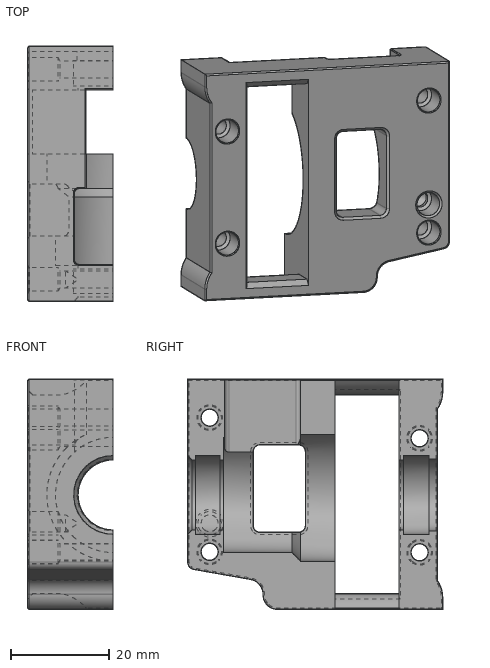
import cadquery as cq
import math

width = 17.45
length = 51.9
height = 46.85
edge_chamfer = 0.3
bore_z = 23.3

step_y = 15.3
step_corner_z = 8.35
step_slope = 10.0
step_radius = 3.0
nose_radius = 1.5
notch_depth = 1.1
notch_bottom = 5.85
notch_top = 40.8
notch_radius = 6.0

bore_radius = 7.1
bore_chamfer = 0.9
rear_lip_radius = 7.3
seat_radius = 8.05
drum_radius = 11.7
hub_radius = 13.5

front_wall = 7.3
drum_end = 21.2
hub_start = drum_end + hub_radius - drum_radius
cavity_start = 30.0
cavity_end = 42.95
front_seat = (1.55, 6.55)
rear_seat = (43.85, 49.05)

cavity_bottom = 3.2
cavity_top = 43.65
cavity_lip_x = 6.95
sweep_radius = 8.8
sweep_start = 11.0
sweep_end = 60.0
mouth_chamfer = 1.1

rear_slot_x = 12.0
front_slot_x = 9.6
front_slot_radius = 0.9
front_slot_chamfer = 0.2
front_slot_y = (7.5, 22.95)

window_y = (13.35, 23.9)
window_z = (15.7, 33.45)
window_radius = 1.35
window_chamfer = 0.5

screw_radius = 2.4
pilot_radius = 1.7
screw_depth = 6.2
drill_cone = 1 / math.tan(math.radians(59))
screw_chamfer = 0.2
blind_chamfer = 0.4
blind_depth = 7.8
blind_tip = 2.6
screw_centres = [(4.45, 39.0), (4.45, 11.7), (47.15, 34.8), (47.15, 11.6)]
blind_centre = (4.45, 17.55)


def box(x_range, y_range, z_range):
    size = [high - low for low, high in (x_range, y_range, z_range)]
    corner = (x_range[0], y_range[0], z_range[0])
    return cq.Workplane("XY").box(*size, centered=False).translate(corner)


def flared_mouth(plane, offset, inner, outer, depth):
    """Loft from an outer rectangle at the offset to an inner one at offset + depth.

    Each rectangle is (low u, high u, low v, high v) in the plane's own axes.
    """
    def rectangle(bounds):
        u0, u1, v0, v1 = bounds
        return [(u0, v0), (u1, v0), (u1, v1), (u0, v1)]

    return (
        cq.Workplane(plane).workplane(offset=offset).polyline(rectangle(outer)).close()
        .workplane(offset=depth).polyline(rectangle(inner)).close()
        .loft(ruled=True, combine=True)
    )


def make_body():
    wall_z = step_corner_z - step_y * math.tan(math.radians(step_slope))
    notch_y = length - notch_depth
    notch_run = math.sqrt(notch_radius**2 - (notch_radius - notch_depth)**2)
    half_run = notch_run / 2
    half_depth = notch_radius - math.sqrt(notch_radius**2 - half_run**2)
    body = (
        cq.Workplane("YZ")
        .moveTo(0, height)
        .lineTo(0, step_corner_z)
        .lineTo(step_y, wall_z)
        .lineTo(step_y, 0)
        .lineTo(length, 0)
        .lineTo(length, notch_bottom - notch_run)
        .threePointArc((length - half_depth, notch_bottom - half_run), (notch_y, notch_bottom))
        .lineTo(notch_y, notch_top)
        .threePointArc((length - half_depth, notch_top + half_run), (length, notch_top + notch_run))
        .lineTo(length, height)
        .close()
        .extrude(width)
    )
    rounded_corners = [
        (0, step_corner_z, nose_radius),
        (step_y, wall_z, step_radius),
        (step_y, 0, step_radius),
    ]
    for y, z, radius in rounded_corners:
        body = body.edges(cq.NearestToPointSelector((width / 2, y, z))).fillet(radius)
    return body.faces("<X").edges().chamfer(edge_chamfer)


def shaft_passage():
    """Stepped round passage along Y, cut in half by the +X face."""
    steps = [
        (0, 0),
        (bore_radius + bore_chamfer, 0),
        (bore_radius, bore_chamfer),
        (bore_radius, front_seat[0]),
    ]
    sections = [
        (seat_radius, *front_seat),
        (bore_radius, front_seat[1], front_wall),
        (drum_radius, front_wall, drum_end),
        (hub_radius, hub_start, cavity_start),
        (bore_radius, cavity_start, rear_seat[0]),
        (seat_radius, *rear_seat),
        (rear_lip_radius, rear_seat[1], length),
    ]
    for radius, start, end in sections:
        steps += [(radius, start), (radius, end)]
    return (
        cq.Workplane("XY", origin=(width, 0, bore_z))
        .polyline(steps + [(0, length)]).close()
        .revolve(360, (0, 0), (0, 1))
    )


def cavity():
    """Tall cavity whose floor and roof sweep outwards towards +X."""
    def sweep(angle):
        start = math.radians(sweep_start)
        run = sweep_radius * (math.sin(math.radians(angle)) - math.sin(start))
        spread = sweep_radius * (math.cos(start) - math.cos(math.radians(angle)))
        return cavity_lip_x + run, spread

    middle_x, middle_spread = sweep((sweep_start + sweep_end) / 2)
    end_x, end_spread = sweep(sweep_end)
    profile = (
        cq.Workplane("XZ", origin=(0, cavity_start, 0))
        .moveTo(0, cavity_bottom)
        .lineTo(cavity_lip_x, cavity_bottom)
        .threePointArc((middle_x, cavity_bottom - middle_spread), (end_x, cavity_bottom - end_spread))
        .lineTo(width, cavity_bottom - end_spread)
        .lineTo(width, cavity_top + end_spread)
        .lineTo(end_x, cavity_top + end_spread)
        .threePointArc((middle_x, cavity_top + middle_spread), (cavity_lip_x, cavity_top))
        .lineTo(0, cavity_top)
        .close()
        .extrude(cavity_start - cavity_end)
    )
    mouth_low = cavity_bottom - mouth_chamfer
    mouth_high = cavity_top + mouth_chamfer
    floor_and_roof = flared_mouth(
        "YZ",
        0,
        (cavity_start, cavity_end, cavity_bottom, cavity_top),
        (cavity_start, cavity_end, mouth_low, mouth_high),
        mouth_chamfer,
    )
    side = flared_mouth(
        "YZ",
        0,
        (cavity_start, cavity_end, mouth_low + edge_chamfer, mouth_high - edge_chamfer),
        (cavity_start, cavity_end + edge_chamfer, mouth_low, mouth_high),
        edge_chamfer,
    )
    return profile.union(floor_and_roof).union(side)


def rear_slot():
    """Slot through floor and roof, open to +X; the roof part reaches on over the hub."""
    slot_step_y = front_slot_y[1]
    chamfered_end = cavity_end + edge_chamfer
    chamfered_x = rear_slot_x - edge_chamfer
    slot = box((rear_slot_x, width), (cavity_start, cavity_end), (0, bore_z))
    slot = slot.union(box((rear_slot_x, width), (slot_step_y, cavity_end), (bore_z, height)))
    for start_y, face_z, inward in ((cavity_start, 0, 1), (slot_step_y, height, -1)):
        inner = (rear_slot_x, width, start_y, cavity_end)
        outer = (chamfered_x, width, start_y, chamfered_end)
        slot = slot.union(flared_mouth("XY", face_z, inner, outer, inward * edge_chamfer))
    return slot


def flared_opening(plane, origin, size, radius, depth, chamfer):
    """Rounded rectangular opening with a 45 degree chamfer round its mouth."""
    def rounded(grow):
        return cq.Sketch().rect(size[0] + 2 * grow, size[1] + 2 * grow).vertices().fillet(radius + grow)

    start = cq.Workplane(plane, origin=origin)
    mouth = start.placeSketch(rounded(chamfer)).extrude(math.copysign(chamfer, depth), taper=45)
    return start.placeSketch(rounded(0)).extrude(depth).union(mouth)


def front_slot():
    """Slot over the drum, open to +X."""
    reach = 2 * (width - front_slot_x)
    origin = (width, sum(front_slot_y) / 2, height)
    size = (reach, front_slot_y[1] - front_slot_y[0])
    return flared_opening("XY", origin, size, front_slot_radius, bore_z - height, front_slot_chamfer)


def window():
    """Rounded window from the -X face into the drum space."""
    origin = (0, sum(window_y) / 2, sum(window_z) / 2)
    size = (window_y[1] - window_y[0], window_z[1] - window_z[0])
    return flared_opening("YZ", origin, size, window_radius, width, window_chamfer)


def screw_hole(centre, chamfer, pilot_outline):
    """Chamfered hole from the -X face, coned down to a smaller pilot hole.

    The pilot outline lists the (depth, radius) points that close the pilot's far end.
    """
    outline = [
        (0, 0),
        (0, screw_radius + chamfer),
        (chamfer, screw_radius),
        (screw_depth, screw_radius),
        (screw_depth + (screw_radius - pilot_radius) * drill_cone, pilot_radius),
    ]
    return (
        cq.Workplane("XY")
        .polyline(outline + pilot_outline).close()
        .revolve(360, (0, 0), (1, 0))
        .translate((0, *centre))
    )


through_pilot = [(width, pilot_radius), (width, 0)]
blind_pilot = [(blind_depth, pilot_radius), (blind_depth + blind_tip, 0)]

result = make_body()
for cutter in (shaft_passage(), cavity(), rear_slot(), front_slot(), window()):
    result = result.cut(cutter)
for screw_centre in screw_centres:
    result = result.cut(screw_hole(screw_centre, screw_chamfer, through_pilot))
result = result.cut(screw_hole(blind_centre, blind_chamfer, blind_pilot))